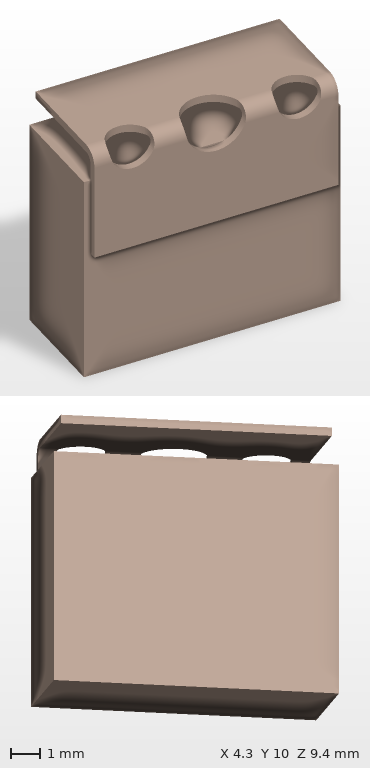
import cadquery as cq
import math

block_length = 4
block_width = 10
block_height = 8.1

sheet = 0.3
bracket_width = 9.5
bracket_top = 9.4
bend_inner_radius = 0.3
side_leaf_bottom = 5.07

flat_bend_length = 0.79
middle_cutout_radius = 1.19
side_cutout_radius = 0.88
side_cutout_spacing = 3.25
bend_sections = 9

middle_y = block_width / 2
bracket_right = block_length + sheet
bend_outer_radius = bend_inner_radius + sheet
bend_x = bracket_right - bend_outer_radius
bend_z = bracket_top - bend_outer_radius


def make_bracket():
    """L-shaped sheet with a rounded bend, centred across the block width."""
    profile = (
        cq.Workplane("XZ", origin=(0, middle_y, 0))
        .moveTo(0, bracket_top)
        .lineTo(bend_x, bracket_top)
        .radiusArc((bracket_right, bend_z), bend_outer_radius)
        .lineTo(bracket_right, side_leaf_bottom)
        .lineTo(block_length, side_leaf_bottom)
        .lineTo(block_length, bend_z)
        .radiusArc((bend_x, bracket_top - sheet), -bend_inner_radius)
        .lineTo(0, bracket_top - sheet)
        .close()
    )
    return profile.extrude(bracket_width / 2, both=True)


def half_width(radius, flat_distance):
    """Half the width of the circle at a distance from its centre along the flat sheet."""
    return math.sqrt(radius**2 - flat_distance**2)


def make_leaf_cutter(plane, radius):
    """The part of the circle that reaches from the bend line into one flat leaf."""
    reach = radius - flat_bend_length / 2
    half_chord = half_width(radius, flat_bend_length / 2)
    return (
        cq.Workplane(plane)
        .moveTo(0, -half_chord)
        .threePointArc((reach, 0), (0, half_chord))
        .close()
        .extrude(sheet)
    )


def make_bend_cutter(y, radius):
    """The part of the circle within the bend, lofted through radial rectangles."""
    section_height = sheet + bend_inner_radius / 2
    section_center = bend_inner_radius + sheet / 2
    sections = []
    for index in range(bend_sections):
        fraction = index / (bend_sections - 1)
        angle = fraction * math.pi / 2
        radial_plane = cq.Plane(
            origin=(bend_x, y, bend_z),
            xDir=(math.sin(angle), 0, math.cos(angle)),
            normal=(math.cos(angle), 0, -math.sin(angle)),
        )
        width = 2 * half_width(radius, (fraction - 0.5) * flat_bend_length)
        section = cq.Workplane(radial_plane).center(section_center, 0).rect(section_height, width)
        sections.append(section.val())
    return cq.Workplane(cq.Solid.makeLoft(sections))


def cut_bent_circle(bracket, y, radius):
    """Cut one bent circle through the upper leaf, the bend and the side leaf."""
    upper_plane = cq.Plane(origin=(bend_x, y, bracket_top - sheet), xDir=(-1, 0, 0), normal=(0, 0, 1))
    side_plane = cq.Plane(origin=(block_length, y, bend_z), xDir=(0, 0, -1), normal=(1, 0, 0))
    return (
        bracket.cut(make_leaf_cutter(upper_plane, radius))
        .cut(make_leaf_cutter(side_plane, radius))
        .cut(make_bend_cutter(y, radius))
    )


bracket = make_bracket()
bracket = cut_bent_circle(bracket, middle_y, middle_cutout_radius)
for side in (-1, 1):
    bracket = cut_bent_circle(bracket, middle_y + side * side_cutout_spacing, side_cutout_radius)

block = cq.Workplane("XY").box(block_length, block_width, block_height, centered=False)
result = block.union(bracket)